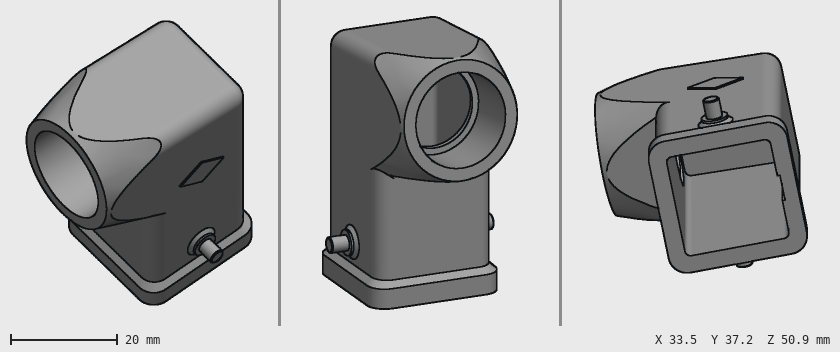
import cadquery as cq
import math

body_width = 23.95
body_half = body_width / 2
body_corner_radius = 3.15
flange_width = 26.45
flange_straight_height = 3.95
shoulder_height = (flange_width - body_width) / 2
flange_corner_radius = 3.55

tilt = math.radians(5)
face_centre_y = -22.95
face_centre_z = 39.0
face_radius = 11.7
cone_slope = math.tan(math.radians(17))
cone_depth = 18.3
trim_span = 101.75
entry_bore_radius = 9.25
entry_bore_depth = 12.2
inner_bore_radius = 8.0

wall = 2.05
roof_thickness = wall
cavity_half = body_half - wall
cavity_corner_radius = body_corner_radius - wall
groove_width = 5.0
groove_depth = 0.5

pin_height = 9.45
pin_span = 33.5
pin_radius = 1.55
pin_chamfer = 0.2
boss_radius = 2.5
boss_base_radius = 3.3
boss_cone_end = 12.7
boss_end = 13.2

pad_height = 32.3
pad_length = 10.6
pad_width = 6.1
pad_thickness = 0.3


def head_point(depth, rise):
    """(y, z) of a point given along the tilted entry axis and square to it."""
    y = face_centre_y + depth * math.cos(tilt) + rise * math.sin(tilt)
    z = face_centre_z - depth * math.sin(tilt) + rise * math.cos(tilt)
    return y, z


def depth_at_y(y, rise):
    """Distance along the entry axis at which a parallel line reaches the given y."""
    return (y - face_centre_y - rise * math.sin(tilt)) / math.cos(tilt)


def head_line_at_y(y, rise):
    """(y, z) where a line parallel to the entry axis reaches the given y."""
    return head_point(depth_at_y(y, rise), rise)


entry_plane = cq.Plane(
    origin=(0, face_centre_y, face_centre_z),
    xDir=(1, 0, 0),
    normal=(0, math.cos(tilt), -math.sin(tilt)),
)


def rounded_square(width, corner_radius):
    """Square outline with rounded corners, centred on the origin."""
    return cq.Sketch().rect(width, width).vertices().fillet(corner_radius)


def make_block():
    """Square column and tilted square head in one piece, rounded at the back and along the roof."""
    outline = [
        (body_half, 0),
        head_line_at_y(body_half, body_half),
        head_point(0, body_half),
        head_point(0, -body_half),
        head_line_at_y(-body_half, -body_half),
        (-body_half, 0),
    ]
    block = cq.Workplane("YZ").polyline(outline).close().extrude(body_half, both=True)
    roof_normal = cq.Vector(0, math.sin(tilt), math.cos(tilt))
    roof_sides = block.faces(cq.selectors.DirectionSelector(roof_normal)).edges("not |X")
    back_roof_edge = block.faces(">Y").edges(">Z")
    rounded_edges = block.edges("|Z and >Y").add(back_roof_edge).add(roof_sides)
    return rounded_edges.fillet(body_corner_radius)


def make_column():
    """Rounded column up to the entry axis; its front corners are kept outside the entry cone."""
    axis_height = head_line_at_y(0, 0)[1]
    outline = rounded_square(body_width, body_corner_radius)
    return cq.Workplane("XY").placeSketch(outline).extrude(axis_height)


def make_front_trim():
    """Everything at the front that lies outside both the entry cone and the rounded column."""
    front = cq.Workplane(entry_plane).rect(trim_span, trim_span).extrude(cone_depth)
    cone_end_radius = face_radius + cone_depth * cone_slope
    cone = (
        cq.Workplane(entry_plane)
        .circle(face_radius)
        .workplane(offset=cone_depth)
        .circle(cone_end_radius)
        .loft()
    )
    return front.cut(cone).cut(make_column())


def make_flange():
    """Base flange with a 45 degree shoulder that narrows to the column outline."""
    base_outline = rounded_square(flange_width, flange_corner_radius)
    column_outline = rounded_square(body_width, body_corner_radius)
    shoulder_top = flange_straight_height + shoulder_height
    base = cq.Workplane("XY").placeSketch(base_outline).extrude(flange_straight_height)
    shoulder = (
        cq.Workplane("XY")
        .placeSketch(
            base_outline.moved(cq.Location(cq.Vector(0, 0, flange_straight_height))),
            column_outline.moved(cq.Location(cq.Vector(0, 0, shoulder_top))),
        )
        .loft(ruled=True)
    )
    return base.union(shoulder)


def make_pin():
    """Locking pin on the +X side: conical boss, short collar and chamfered pin."""
    pin_end = pin_span / 2
    outline = [
        (cavity_half, 0),
        (cavity_half, boss_base_radius),
        (body_half, boss_base_radius),
        (boss_cone_end, boss_radius),
        (boss_end, boss_radius),
        (boss_end, pin_radius),
        (pin_end - pin_chamfer, pin_radius),
        (pin_end, pin_radius - pin_chamfer),
        (pin_end, 0),
    ]
    pin = cq.Workplane("XY").polyline(outline).close().revolve(360, (0, 0), (1, 0))
    return pin.translate((0, 0, pin_height))


def make_pad():
    """Raised diamond on the +X side."""
    corners = [
        (pad_length / 2, pad_height),
        (0, pad_height + pad_width / 2),
        (-pad_length / 2, pad_height),
        (0, pad_height - pad_width / 2),
    ]
    plane = cq.Workplane("YZ", origin=(cavity_half, 0, 0))
    return plane.polyline(corners).close().extrude(wall + pad_thickness)


def make_cavity():
    """Hollow open at the base, with a roof parallel to the outer one and a back groove."""
    roof_rise = body_half - roof_thickness
    groove_y = cavity_half + groove_depth
    room_outline = [
        (cavity_half, 0),
        head_line_at_y(cavity_half, roof_rise),
        head_line_at_y(-cavity_half, roof_rise),
        (-cavity_half, 0),
    ]
    groove_outline = [
        (0, 0),
        (groove_y, 0),
        head_line_at_y(groove_y, roof_rise),
        head_line_at_y(0, roof_rise),
    ]
    room = cq.Workplane("YZ").polyline(room_outline).close().extrude(cavity_half, both=True)
    room = room.edges("|Z").fillet(cavity_corner_radius)
    groove = cq.Workplane("YZ").polyline(groove_outline).close().extrude(groove_width / 2, both=True)
    return room.union(groove)


def make_entry_bore():
    """Stepped bore from the entry face into the cavity."""
    entry = cq.Workplane(entry_plane).circle(entry_bore_radius).extrude(entry_bore_depth)
    inner_depth = depth_at_y(0, 0)
    inner = cq.Workplane(entry_plane).circle(inner_bore_radius).extrude(inner_depth)
    return entry.union(inner)


pin = make_pin()
result = (
    make_block()
    .cut(make_front_trim())
    .union(make_flange())
    .union(pin)
    .union(pin.mirror("YZ"))
    .union(make_pad())
    .cut(make_cavity())
    .cut(make_entry_bore())
)